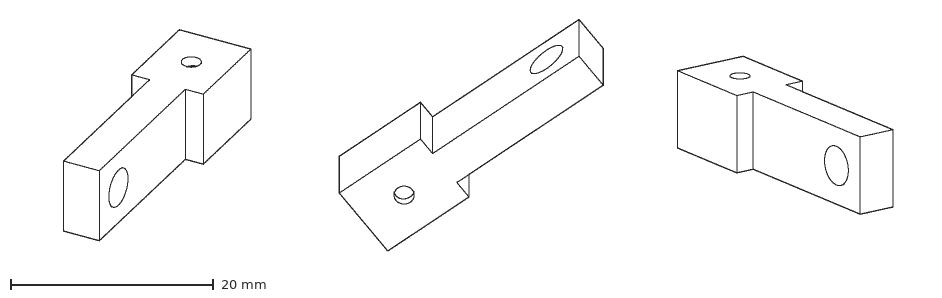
import cadquery as cq

total_length = 28.0
height = 8.0
head_width = height
head_length = 10.0
arm_width = head_width / 2
head_hole_diameter = 2.0
arm_hole_diameter = 4.0
arm_hole_tip_distance = 4.0
socket_diameter = 6.0
socket_depth = 8.0

arm_length = total_length - head_length
head_hole_y = arm_length + head_length / 2


def block(width, start_y, length):
    """Full-height block centred on X = 0, running along +Y from start_y."""
    return (
        cq.Workplane("XY")
        .box(width, length, height, centered=(True, False, False))
        .translate((0, start_y, 0))
    )


arm = block(arm_width, 0, arm_length)
head = block(head_width, arm_length, head_length)
body = head.union(arm)

head_hole = (
    cq.Workplane("XY")
    .center(0, head_hole_y)
    .circle(head_hole_diameter / 2)
    .extrude(height)
)

arm_hole = (
    cq.Workplane("YZ")
    .center(arm_hole_tip_distance, height / 2)
    .circle(arm_hole_diameter / 2)
    .extrude(arm_width, both=True)
)

socket = (
    cq.Workplane("XZ", origin=(0, total_length, height / 2))
    .circle(socket_diameter / 2)
    .extrude(socket_depth)
)

result = body.cut(head_hole).cut(arm_hole).cut(socket)